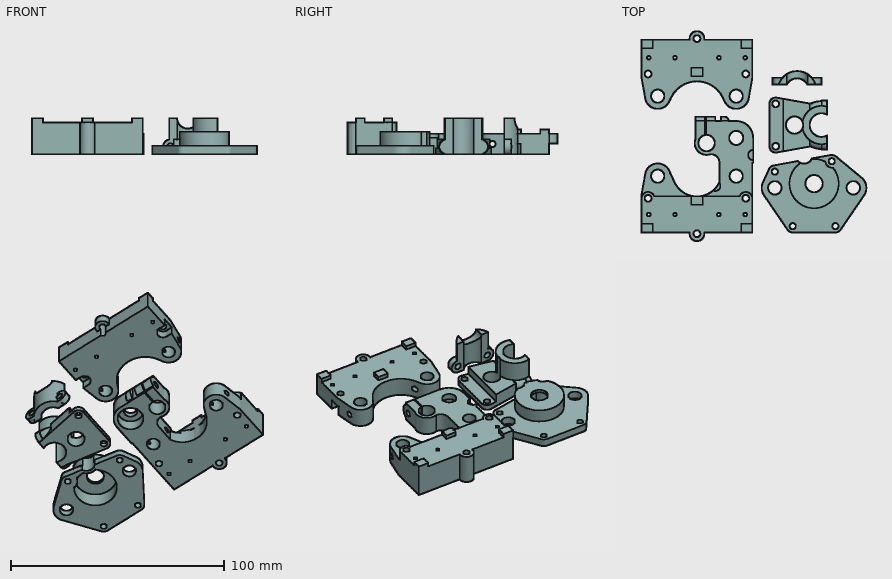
import cadquery as cq
import math

TOTAL_HEIGHT = 17.0
PAD_HEIGHT = 2.0
ARM_HEIGHT = 9.7
SCREW_HOLE = 3.1

BLOCK_HALF_WIDTH = 26.0
BODY_DEPTH = 17.1
TAPER_START = 18.0
LOBE_X = 18.4
LOBE_Y = 26.5
LOBE_RADIUS = 6.0
ROD_HOLE = 6.1
FRONT_BORE_RADIUS = 11.6
FRONT_BORE_Y = 28.6
BACK_BORE_RADIUS = 13.4
BACK_BORE_Y = 33.0
BACK_EDGE_Y = 90.5
SET_SCREW_HOLE = 2.8
SET_SCREW_Z = ARM_HEIGHT / 2

TAB_OFFSET = 0.5
TAB_RADIUS = 3.5
BACK_TAB_BOTTOM = 5.0

PAD_WIDTH = 5.2
PAD_DEPTH = 4.0
CORNER_PAD_DEPTH = 4.15

PILOT_HOLE = 1.6
PILOT_XS = (-22.6, -10.3, 10.3, 22.6)
PILOT_Y = 8.5

FOOT_HOLE_X = 22.9
FOOT_HOLE_Y = 16.1
FOOT_BOSS_RADIUS = 3.0
FOOT_SLOT_WIDTH = 5.6
FOOT_SLOT_HEIGHT = 5.0

ARM_RIGHT_X = 26.4
ARM_STEP_Y = 32.7
ARM_INNER_X = 10.5
ARM_TOP_Y = 52.4
ARM_CORNER_RADIUS = 8.0
ARM_HOLE_Y = ARM_TOP_Y - ARM_CORNER_RADIUS
ARM_HOLE = 6.5
ARM_RECESS = 12.0
ARM_RECESS_DEPTH = 6.6
CLAMP_X = 4.5
CLAMP_Y = 42.0
CLAMP_HOLE = 7.6
CLAMP_RADIUS = 5.6
CLAMP_LEFT_X = -0.75
INNER_CORNER_RADIUS = 4.0
SLIT_X = 4.1
SLIT_WIDTH = 0.5
LUG_Y = 50.0
LUG_RADIUS = 4.4
LUG_RIGHT_X = 8.6
NUT_LUG_X = 11.2
NUT_LUG_LENGTH = 3.7
NUT_LUG_ROUND = 2.0
POCKET_DEPTH = 2.0
POCKET_RADIUS = 2.4
EDGE_POCKET_Y = 36.4
BORE_POCKET_X = 8.6
BORE_POCKET_Y = 21.9

PLATE_THICKNESS = 4.0
PLATE_ROD_Y = 21.0
PLATE_ROD_XS = (36.5, 73.3)
PLATE_ROD_HOLE = 6.2
PLATE_ROD_LOBE = 6.19
PLATE_SCREWS = ((44.9, 3.05), (64.9, 3.05), (63.2, 33.5), (36.5, 28.6))
PLATE_SCREW_HOLE = 2.8
PLATE_SCREW_LOBE = 3.0
HUB_X = sum(PLATE_ROD_XS) / 2
HUB_Y = 23.0
HUB_RADIUS = 11.55
HUB_TOP = 10.65
HUB_HOLE = 8.0
HUB_WALL = 1.5
NOTCH_X = 50.2
NOTCH_Y = 36.4
NOTCH_RADIUS = 4.0

TUBE_RADIUS = 9.0
TUBE_BORE_RADIUS = 5.5
SPLIT_OFFSET = 2.6
EAR_RADIUS = 3.5
EAR_OFFSET = 8.05

TUBE_X = 58.4
TUBE_Y = 50.45
FOOT_X = 36.9
FOOT_HALF_SPACING = 9.95
FOOT_RADIUS = 3.0
FLANGE_THICKNESS = 2.8
HOLDER_HEIGHT = 2 * EAR_RADIUS
STEP_X = 40.4
HOLDER_END_X = 52.9
HOLDER_HOLE_X = 45.75
HOLDER_HOLE = 8.0
BEAD_RING_RADIUS = 7.8

CAP_X = 46.95
CAP_FACE_Y = 69.4
CAP_EAR_THICKNESS = 3.3
CAP_EAR_HOLE = 3.1
SADDLE_RADIUS = 4.9


def polar(center, radius, angle):
    return (center[0] + radius * math.cos(angle), center[1] + radius * math.sin(angle))


def cylinder(x, y, radius, bottom, top):
    return cq.Workplane("XY", origin=(x, y, bottom)).circle(radius).extrude(top - bottom)


def cylinder_along_x(x_start, x_end, y, z, radius):
    return cq.Workplane("YZ", origin=(x_start, y, z)).circle(radius).extrude(x_end - x_start)


def box(x_start, x_end, y_start, y_end, bottom, top):
    size = (x_end - x_start, y_end - y_start, top - bottom)
    return cq.Workplane("XY", origin=(x_start, y_start, bottom)).box(*size, centered=False)


def belt_outline(circles):
    """Closed outline stretched around circles (x, y, radius) listed counterclockwise."""
    tangent_angles = []
    for index, (x, y, radius) in enumerate(circles):
        next_x, next_y, next_radius = circles[(index + 1) % len(circles)]
        distance = math.hypot(next_x - x, next_y - y)
        heading = math.atan2(next_y - y, next_x - x)
        tangent_angles.append(heading - math.acos((radius - next_radius) / distance))
    outline = None
    for index, (x, y, radius) in enumerate(circles):
        start_angle = tangent_angles[index - 1]
        sweep = (tangent_angles[index] - start_angle) % (2 * math.pi)
        start = polar((x, y), radius, start_angle)
        outline = outline.lineTo(*start) if outline else cq.Workplane("XY").moveTo(*start)
        middle = polar((x, y), radius, start_angle + sweep / 2)
        outline = outline.threePointArc(middle, polar((x, y), radius, start_angle + sweep))
    return outline.close()


def lobe_arm(bore_y, bore_radius):
    """Left arm of a block: from the body out to the rod hole lobe and back along the bore."""
    lobe = (-LOBE_X, LOBE_Y)
    bore = (0, bore_y)
    corner = (-BLOCK_HALF_WIDTH, TAPER_START)
    to_corner = math.atan2(corner[1] - lobe[1], corner[0] - lobe[0])
    corner_distance = math.hypot(corner[0] - lobe[0], corner[1] - lobe[1])
    outer_angle = to_corner - math.acos(LOBE_RADIUS / corner_distance)
    to_lobe = math.atan2(lobe[1] - bore[1], lobe[0] - bore[0])
    lobe_distance = math.hypot(LOBE_X, LOBE_Y - bore_y)
    lean = math.acos((LOBE_RADIUS + bore_radius) / lobe_distance)
    bore_angle = to_lobe + lean
    inner_angle = bore_angle - math.pi
    outer_angle %= 2 * math.pi
    inner_angle %= 2 * math.pi
    lobe_middle = (inner_angle + outer_angle) / 2
    bore_middle = (bore_angle % (2 * math.pi) + 1.5 * math.pi) / 2
    return (
        cq.Workplane("XY")
        .moveTo(0, 0)
        .lineTo(-BLOCK_HALF_WIDTH, 0)
        .lineTo(*corner)
        .lineTo(*polar(lobe, LOBE_RADIUS, outer_angle))
        .threePointArc(polar(lobe, LOBE_RADIUS, lobe_middle), polar(lobe, LOBE_RADIUS, inner_angle))
        .lineTo(*polar(bore, bore_radius, bore_angle))
        .threePointArc(polar(bore, bore_radius, bore_middle), (0, bore_y - bore_radius))
        .close()
        .extrude(ARM_HEIGHT)
    )


def add_pads(block, base_height):
    top = base_height + PAD_HEIGHT
    half_width = PAD_WIDTH / 2
    block = block.union(box(-half_width, half_width, BODY_DEPTH - PAD_DEPTH, BODY_DEPTH, 0, top))
    inner_x = BLOCK_HALF_WIDTH - PAD_WIDTH
    block = block.union(box(-BLOCK_HALF_WIDTH, -inner_x, 0, CORNER_PAD_DEPTH, 0, top))
    return block.union(box(inner_x, BLOCK_HALF_WIDTH, 0, CORNER_PAD_DEPTH, 0, top))


def drill_block(block):
    """Pilot, tab, foot and rod holes common to both blocks."""
    for x in PILOT_XS:
        block = block.cut(cylinder(x, PILOT_Y, PILOT_HOLE / 2, 0, TOTAL_HEIGHT))
    block = block.cut(cylinder(0, -TAB_OFFSET, SCREW_HOLE / 2, 0, TOTAL_HEIGHT))
    for side in (-1, 1):
        block = block.cut(cylinder(side * FOOT_HOLE_X, FOOT_HOLE_Y, SCREW_HOLE / 2, 0, TOTAL_HEIGHT))
        block = block.cut(cylinder(side * LOBE_X, LOBE_Y, ROD_HOLE / 2, 0, TOTAL_HEIGHT))
    set_screw = cylinder_along_x(-ARM_RIGHT_X, ARM_RIGHT_X, LOBE_Y, SET_SCREW_Z, SET_SCREW_HOLE / 2)
    return block.cut(set_screw)


def make_back_block():
    """Low block with two lobes, modelled facing +Y and then mirrored into place."""
    arm = lobe_arm(BACK_BORE_Y, BACK_BORE_RADIUS)
    block = arm.union(arm.mirror("YZ"))
    block = block.union(cylinder(0, -TAB_OFFSET, TAB_RADIUS, BACK_TAB_BOTTOM, ARM_HEIGHT))
    block = drill_block(add_pads(block, ARM_HEIGHT))
    for side in (-1, 1):
        seat = cylinder(side * FOOT_HOLE_X, FOOT_HOLE_Y, FOOT_SLOT_WIDTH / 2, 0, FOOT_SLOT_HEIGHT)
        slot_ends = sorted((side * FOOT_HOLE_X, side * BLOCK_HALF_WIDTH))
        half_slot = FOOT_SLOT_WIDTH / 2
        slot = box(*slot_ends, FOOT_HOLE_Y - half_slot, FOOT_HOLE_Y + half_slot, 0, FOOT_SLOT_HEIGHT)
        block = block.cut(seat).cut(slot)
    return block.mirror("XZ").translate((0, BACK_EDGE_Y, 0))


def make_clamp_arm():
    """Right arm of the front block, ending in the split rod clamp."""
    clamp = (CLAMP_X, CLAMP_Y)
    left_y = CLAMP_Y + math.sqrt(CLAMP_RADIUS**2 - (CLAMP_X - CLAMP_LEFT_X) ** 2)
    corner_x = ARM_INNER_X - INNER_CORNER_RADIUS
    corner_top = CLAMP_Y - math.sqrt(CLAMP_RADIUS**2 - (corner_x - CLAMP_X) ** 2)
    corner_center = (corner_x, corner_top - INNER_CORNER_RADIUS)
    bore_end_y = FRONT_BORE_Y - math.sqrt(FRONT_BORE_RADIUS**2 - ARM_INNER_X**2)
    bore_middle = polar((0, FRONT_BORE_Y), FRONT_BORE_RADIUS, -math.radians(60))
    round_center = (ARM_RIGHT_X - ARM_CORNER_RADIUS, ARM_HOLE_Y)
    arm = (
        cq.Workplane("XY")
        .moveTo(0, 0)
        .lineTo(BLOCK_HALF_WIDTH, 0)
        .lineTo(BLOCK_HALF_WIDTH, ARM_STEP_Y)
        .lineTo(ARM_RIGHT_X, ARM_STEP_Y)
        .lineTo(ARM_RIGHT_X, ARM_HOLE_Y)
        .threePointArc(
            polar(round_center, ARM_CORNER_RADIUS, math.radians(45)),
            (round_center[0], ARM_TOP_Y),
        )
        .lineTo(CLAMP_LEFT_X, ARM_TOP_Y)
        .lineTo(CLAMP_LEFT_X, left_y)
        .threePointArc(polar(clamp, CLAMP_RADIUS, math.radians(225)), (corner_x, corner_top))
        .threePointArc(
            polar(corner_center, INNER_CORNER_RADIUS, math.radians(45)),
            (ARM_INNER_X, corner_center[1]),
        )
        .lineTo(ARM_INNER_X, bore_end_y)
        .threePointArc(bore_middle, (0, FRONT_BORE_Y - FRONT_BORE_RADIUS))
        .close()
        .extrude(ARM_HEIGHT)
    )

    arm = arm.union(cylinder_along_x(CLAMP_LEFT_X, LUG_RIGHT_X, LUG_Y, SET_SCREW_Z, LUG_RADIUS))
    nut_lug_end = NUT_LUG_X + NUT_LUG_LENGTH
    nut_lug = cylinder_along_x(NUT_LUG_X, nut_lug_end, LUG_Y, SET_SCREW_Z, LUG_RADIUS)
    arm = arm.union(nut_lug.faces(">X").edges().fillet(NUT_LUG_ROUND))

    arm = arm.cut(cylinder(CLAMP_X, CLAMP_Y, CLAMP_HOLE / 2, 0, ARM_HEIGHT))
    slit_left = SLIT_X - SLIT_WIDTH / 2
    slit_top = LUG_Y + LUG_RADIUS
    arm = arm.cut(box(slit_left, slit_left + SLIT_WIDTH, CLAMP_Y, slit_top, 0, ARM_HEIGHT))
    arm = arm.cut(cylinder_along_x(CLAMP_LEFT_X, NUT_LUG_X, LUG_Y, SET_SCREW_Z, SCREW_HOLE / 2))
    arm = arm.cut(cylinder(LOBE_X, ARM_HOLE_Y, ARM_HOLE / 2, 0, ARM_HEIGHT))
    arm = arm.cut(cylinder(LOBE_X, ARM_HOLE_Y, ARM_RECESS / 2, 0, ARM_RECESS_DEPTH))

    for x, y in ((ARM_RIGHT_X, EDGE_POCKET_Y), (BORE_POCKET_X, BORE_POCKET_Y)):
        arm = arm.cut(cylinder(x, y, POCKET_RADIUS, ARM_HEIGHT - POCKET_DEPTH, ARM_HEIGHT))
    return arm


def make_front_block():
    """Tall block with one lobe on the left and the clamp arm on the right."""
    body_top = TOTAL_HEIGHT - PAD_HEIGHT
    block = lobe_arm(FRONT_BORE_Y, FRONT_BORE_RADIUS).union(make_clamp_arm())
    block = block.union(box(-BLOCK_HALF_WIDTH, BLOCK_HALF_WIDTH, 0, BODY_DEPTH, 0, body_top))
    block = block.union(cylinder(0, -TAB_OFFSET, TAB_RADIUS, 0, body_top))
    boss_limit = box(-BLOCK_HALF_WIDTH, BLOCK_HALF_WIDTH, 0, LOBE_Y, 0, body_top)
    for side in (-1, 1):
        boss = cylinder(side * FOOT_HOLE_X, FOOT_HOLE_Y, FOOT_BOSS_RADIUS, ARM_HEIGHT, body_top)
        block = block.union(boss.intersect(boss_limit))
    return drill_block(add_pads(block, body_top))


def make_cover_plate():
    """Flat plate with a hollow round hub, notched for a neighbouring rod."""
    left_rod, right_rod = ((x, PLATE_ROD_Y, PLATE_ROD_LOBE) for x in PLATE_ROD_XS)
    screw_lobes = [(x, y, PLATE_SCREW_LOBE) for x, y in PLATE_SCREWS]
    lobes = [*screw_lobes[:2], right_rod, *screw_lobes[2:], left_rod]
    plate = belt_outline(lobes).extrude(PLATE_THICKNESS)
    hub = cylinder(HUB_X, HUB_Y, HUB_RADIUS, PLATE_THICKNESS, HUB_TOP)
    for x, y, radius in screw_lobes:
        hub = hub.cut(cylinder(x, y, radius, PLATE_THICKNESS, HUB_TOP))
    plate = plate.union(hub)
    for x, y in PLATE_SCREWS:
        plate = plate.cut(cylinder(x, y, PLATE_SCREW_HOLE / 2, 0, PLATE_THICKNESS))
    for x in PLATE_ROD_XS:
        plate = plate.cut(cylinder(x, PLATE_ROD_Y, PLATE_ROD_HOLE / 2, 0, PLATE_THICKNESS))
    plate = plate.cut(cylinder(HUB_X, HUB_Y, HUB_HOLE / 2, 0, HUB_TOP))

    cavity_top = HUB_TOP - HUB_WALL
    cavity = cylinder(HUB_X, HUB_Y, HUB_RADIUS - HUB_WALL, 0, cavity_top)
    for x, y, radius in (*screw_lobes, (NOTCH_X, NOTCH_Y, NOTCH_RADIUS)):
        cavity = cavity.cut(cylinder(x, y, radius + HUB_WALL, 0, cavity_top))
    plate = plate.cut(cavity)
    return plate.cut(cylinder(NOTCH_X, NOTCH_Y, NOTCH_RADIUS, 0, HUB_TOP))


def make_tube_holder():
    """Stepped foot carrying the larger part of the split tube, with an ear on each side."""
    split_x = TUBE_X + SPLIT_OFFSET
    foot_ys = (TUBE_Y - FOOT_HALF_SPACING, TUBE_Y + FOOT_HALF_SPACING)
    foot_circles = [
        (FOOT_X, foot_ys[0], FOOT_RADIUS),
        (TUBE_X, TUBE_Y, TUBE_RADIUS),
        (FOOT_X, foot_ys[1], FOOT_RADIUS),
    ]
    low_y = foot_ys[0] - FOOT_RADIUS
    high_y = foot_ys[1] + FOOT_RADIUS
    flange = belt_outline(foot_circles).extrude(FLANGE_THICKNESS)
    step = belt_outline(foot_circles).extrude(HOLDER_HEIGHT)
    step = step.intersect(box(STEP_X, HOLDER_END_X, low_y, high_y, 0, HOLDER_HEIGHT))
    base = flange.union(step)

    bead_center = cq.Vector(TUBE_X, TUBE_Y, EAR_RADIUS)
    bead = cq.Workplane(cq.Solid.makeTorus(BEAD_RING_RADIUS, EAR_RADIUS, bead_center, cq.Vector(0, 0, 1)))
    bead = bead.intersect(box(HOLDER_END_X, TUBE_X, low_y, high_y, 0, HOLDER_HEIGHT))
    holder = base.union(cylinder(TUBE_X, TUBE_Y, TUBE_RADIUS, 0, TOTAL_HEIGHT)).union(bead)
    for side in (-1, 1):
        ear_y = TUBE_Y + side * EAR_OFFSET
        holder = holder.union(cylinder_along_x(TUBE_X, split_x, ear_y, EAR_RADIUS, EAR_RADIUS))

    holder = holder.cut(cylinder(TUBE_X, TUBE_Y, TUBE_BORE_RADIUS, 0, TOTAL_HEIGHT))
    holder = holder.cut(box(split_x, TUBE_X + TUBE_RADIUS, low_y, high_y, 0, TOTAL_HEIGHT))
    holder = holder.cut(cylinder(HOLDER_HOLE_X, TUBE_Y, HOLDER_HOLE / 2, 0, TOTAL_HEIGHT))
    for y in foot_ys:
        holder = holder.cut(cylinder(FOOT_X, y, SCREW_HOLE / 2, 0, FLANGE_THICKNESS))
    return holder


def make_tube_cap():
    """Smaller part of the split tube, with pierced ears and a saddle across its top."""
    center_y = CAP_FACE_Y - SPLIT_OFFSET
    back_y = center_y + TUBE_RADIUS
    cap = cylinder(CAP_X, center_y, TUBE_RADIUS, 0, TOTAL_HEIGHT)
    ear_back_y = CAP_FACE_Y + CAP_EAR_THICKNESS
    ear_plane = cq.Workplane("XZ", origin=(CAP_X, ear_back_y, EAR_RADIUS))
    ear_places = [(-EAR_OFFSET, 0), (EAR_OFFSET, 0)]
    cap = cap.union(ear_plane.pushPoints(ear_places).circle(EAR_RADIUS).extrude(CAP_EAR_THICKNESS))
    web = box(CAP_X - EAR_OFFSET, CAP_X + EAR_OFFSET, CAP_FACE_Y, ear_back_y, 0, 2 * EAR_RADIUS)
    cap = cap.union(web)
    cap = cap.cut(cylinder(CAP_X, center_y, TUBE_BORE_RADIUS, 0, TOTAL_HEIGHT))
    ear_reach = EAR_OFFSET + EAR_RADIUS
    kept = box(CAP_X - ear_reach, CAP_X + ear_reach, CAP_FACE_Y, back_y, 0, TOTAL_HEIGHT)
    cap = cap.intersect(kept)
    hole_depth = back_y - CAP_FACE_Y
    back_plane = cq.Workplane("XZ", origin=(CAP_X, back_y, EAR_RADIUS))
    cap = cap.cut(back_plane.pushPoints(ear_places).circle(CAP_EAR_HOLE / 2).extrude(hole_depth))
    saddle_plane = cq.Workplane("XZ", origin=(CAP_X, back_y, TOTAL_HEIGHT))
    return cap.cut(saddle_plane.circle(SADDLE_RADIUS).extrude(hole_depth))


back_block = make_back_block()
front_block = make_front_block()
cover_plate = make_cover_plate()
tube_holder = make_tube_holder()
tube_cap = make_tube_cap()

result = cq.Compound.makeCompound([
    back_block.val(),
    front_block.val(),
    cover_plate.val(),
    tube_holder.val(),
    tube_cap.val(),
])